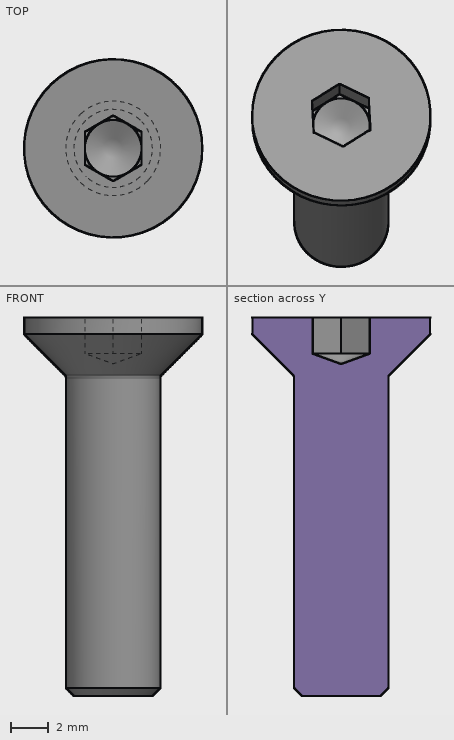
import cadquery as cq
import math

length = 20.0
shank_diameter = 5.0
head_diameter = 9.43
head_height = 3.1
countersink_angle = 90.0
neck_fillet_radius = 0.2
tip_chamfer = 0.433
socket_across_flats = 3.0
socket_depth = 1.9
socket_sides = 6
corner_angle = 90.0
drill_point_angle = 140.0
full_turn = 360

shank_radius = shank_diameter / 2
head_radius = head_diameter / 2
cone_slope = math.radians(countersink_angle / 2)
cone_height = (head_radius - shank_radius) / math.tan(cone_slope)
head_rim_height = head_height - cone_height

neck_tangent_length = neck_fillet_radius * math.tan(cone_slope / 2)


def neck_point(angle):
    """Point of the neck fillet, at an angle turned from the shank toward the cone."""
    r = shank_radius + neck_fillet_radius * (1 - math.cos(angle))
    z = -head_height - neck_tangent_length + neck_fillet_radius * math.sin(angle)
    return (r, z)


def make_body():
    """Head, neck fillet, shank and chamfered tip as one revolved profile."""
    return (
        cq.Workplane("XZ")
        .moveTo(0, 0)
        .lineTo(head_radius, 0)
        .lineTo(head_radius, -head_rim_height)
        .lineTo(*neck_point(cone_slope))
        .threePointArc(neck_point(cone_slope / 2), neck_point(0))
        .lineTo(shank_radius, -length + tip_chamfer)
        .lineTo(shank_radius - tip_chamfer, -length)
        .lineTo(0, -length)
        .close()
        .revolve(full_turn, (0, 0), (0, 1))
    )


def make_socket():
    """Hexagonal socket with corners on the Y axis and a conical drill point below."""
    across_corners = socket_across_flats / math.cos(math.pi / socket_sides)
    hexagon = (
        cq.Workplane("XY")
        .transformed(rotate=(0, 0, corner_angle))
        .polygon(socket_sides, across_corners)
        .extrude(-socket_depth)
    )
    point_radius = socket_across_flats / 2
    point_height = point_radius / math.tan(math.radians(drill_point_angle / 2))
    drill_point = cq.Solid.makeCone(
        point_radius, 0, point_height, cq.Vector(0, 0, -socket_depth), cq.Vector(0, 0, -1)
    )
    return hexagon.union(cq.Workplane(obj=drill_point))


result = make_body().cut(make_socket())